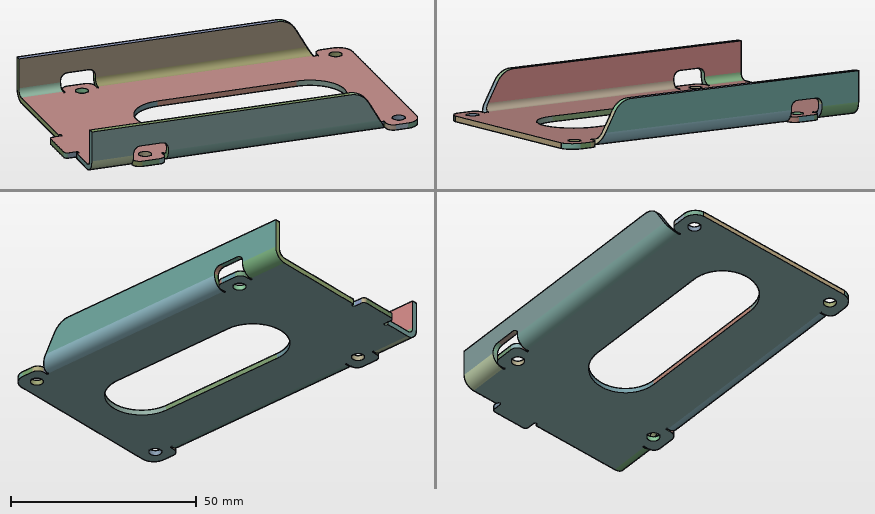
import cadquery as cq
import math

WIDTH = 57.0
LENGTH = 98.0
HEIGHT = 12.2
HALF_WIDTH = WIDTH / 2

THICKNESS = 1.6
BEND_INNER_RADIUS = 2.0
BEND_OUTER_RADIUS = BEND_INNER_RADIUS + THICKNESS
RELIEF_GAP = 0.4

TAB_LENGTH = 2.9
TAB_WIDTH = 12.0
TAB_CENTER_X = 10.0
TAB_CORNER_RADIUS = 1.0
NOTCH_WIDTH = 1.0
NOTCH_DEPTH = 0.8

FLANGE_SETBACK = 10.0
FLANGE_REAR_Y = LENGTH - FLANGE_SETBACK
FLANGE_SLOPE_DEGREES = 60
FLANGE_CORNER_RADIUS = 6.0

EAR_FRONT_Y = FLANGE_REAR_Y + RELIEF_GAP
EAR_REAR_RADIUS = 4.0
EAR_FRONT_RADIUS = 2.2

HOLE_DIAMETER = 3.5
HOLE_X = 24.0
HOLE_FRONT_Y = 20.0
HOLE_SPACING_Y = 73.0
HOLE_REAR_Y = HOLE_FRONT_Y + HOLE_SPACING_Y

WINDOW_LENGTH = 10.0
WINDOW_TOP_Z = 6.1
WINDOW_RADIUS = 2.0
WINDOW_INSET = 3.9
LUG_LENGTH = WINDOW_LENGTH - 2 * RELIEF_GAP
LUG_RADIUS = EAR_FRONT_RADIUS

SLOT_LENGTH = 60.0
SLOT_WIDTH = 20.0
SLOT_CENTER_Y = 56.5


def plate(length_x, length_y, center_x, center_y):
    """Rectangular piece of sheet lying on Z = 0."""
    return (
        cq.Workplane("XY")
        .center(center_x, center_y)
        .rect(length_x, length_y)
        .extrude(THICKNESS)
    )


def make_channel():
    """U-shaped bent sheet with sloped rear ends on both flanges."""
    channel_length = FLANGE_REAR_Y - TAB_LENGTH
    outer = (
        cq.Workplane("XY")
        .box(WIDTH, channel_length, HEIGHT, centered=(True, False, False))
        .edges("|Y and <Z")
        .fillet(BEND_OUTER_RADIUS)
    )
    inner = (
        cq.Workplane("XY")
        .box(WIDTH - 2 * THICKNESS, channel_length, HEIGHT, centered=(True, False, False))
        .edges("|Y and <Z")
        .fillet(BEND_INNER_RADIUS)
        .translate((0, 0, THICKNESS))
    )
    channel = outer.cut(inner).translate((0, TAB_LENGTH, 0))

    slope_run = HEIGHT / math.tan(math.radians(FLANGE_SLOPE_DEGREES))
    side_profile = (
        cq.Workplane("YZ")
        .polyline([
            (TAB_LENGTH, 0),
            (FLANGE_REAR_Y, 0),
            (FLANGE_REAR_Y - slope_run, HEIGHT),
            (TAB_LENGTH, HEIGHT),
        ])
        .close()
        .extrude(HALF_WIDTH, both=True)
        .faces(">Z")
        .edges(">Y")
        .fillet(FLANGE_CORNER_RADIUS)
    )
    return channel.intersect(side_profile)


def make_base():
    """Flat sheet between the bends, ending at the rear in two rounded ears."""
    flat_width = WIDTH - 2 * BEND_OUTER_RADIUS
    flat = plate(flat_width, LENGTH - TAB_LENGTH, 0, (LENGTH + TAB_LENGTH) / 2)
    ears = (
        plate(WIDTH, LENGTH - EAR_FRONT_Y, 0, (LENGTH + EAR_FRONT_Y) / 2)
        .edges("|Z and >Y")
        .fillet(EAR_REAR_RADIUS)
        .edges("|Z and <Y")
        .fillet(EAR_FRONT_RADIUS)
    )
    return flat.union(ears)


def make_front_tab():
    """Tab projecting from the front edge, overlapping the base by the notch depth."""
    tab_depth = TAB_LENGTH + NOTCH_DEPTH
    return (
        plate(TAB_WIDTH, tab_depth, TAB_CENTER_X, tab_depth / 2)
        .edges("|Z and <Y")
        .fillet(TAB_CORNER_RADIUS)
    )


def make_notch(side):
    """Round-ended relief cutter beside the front tab; side is -1 or 1."""
    notch_x = TAB_CENTER_X + side * (TAB_WIDTH + NOTCH_WIDTH) / 2
    round_center_y = TAB_LENGTH + NOTCH_DEPTH - NOTCH_WIDTH / 2
    round_end = (
        cq.Workplane("XY")
        .center(notch_x, round_center_y)
        .circle(NOTCH_WIDTH / 2)
        .extrude(THICKNESS)
    )
    return round_end.union(plate(NOTCH_WIDTH, round_center_y, notch_x, round_center_y / 2))


def make_window(side):
    """Cutter that opens one flange and its bend; side is -1 or 1."""
    return (
        cq.Workplane("XY")
        .box(WINDOW_INSET, WINDOW_LENGTH, WINDOW_TOP_Z, centered=(True, True, False))
        .edges("|X and >Z")
        .fillet(WINDOW_RADIUS)
        .translate((side * (HALF_WIDTH - WINDOW_INSET / 2), HOLE_FRONT_Y, 0))
    )


def make_lugs():
    """Strip of base whose rounded ends lie inside the two windows."""
    return plate(WIDTH, LUG_LENGTH, 0, HOLE_FRONT_Y).edges("|Z").fillet(LUG_RADIUS)


def make_slot():
    """Cutter for the long central opening."""
    return (
        cq.Workplane("XY")
        .center(0, SLOT_CENTER_Y)
        .slot2D(SLOT_LENGTH, SLOT_WIDTH, 90)
        .extrude(THICKNESS)
    )


def make_holes():
    """Cutters for the four mounting holes."""
    centers = [(x, y) for x in (-HOLE_X, HOLE_X) for y in (HOLE_FRONT_Y, HOLE_REAR_Y)]
    return cq.Workplane("XY").pushPoints(centers).circle(HOLE_DIAMETER / 2).extrude(THICKNESS)


bracket = make_channel().union(make_base()).union(make_front_tab())
for side in (-1, 1):
    bracket = bracket.cut(make_notch(side)).cut(make_window(side))
result = bracket.union(make_lugs()).cut(make_slot()).cut(make_holes())